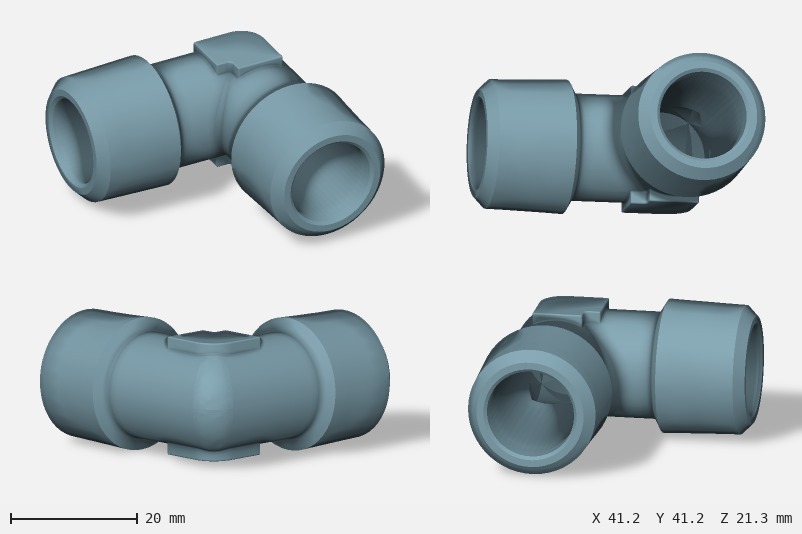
import cadquery as cq
import math

OVERALL_LENGTH = 41.15
COLLAR_DIAMETER = 21.25
COLLAR_RADIUS = COLLAR_DIAMETER / 2
LEG_LENGTH = OVERALL_LENGTH - COLLAR_RADIUS
TUBE_DIAMETER = 17.0
TUBE_RADIUS = TUBE_DIAMETER / 2
COLLAR_START = 16.5
COLLAR_DIAMETER_TAPER = 1 / 16
SHOULDER_ANGLE = 60
SHOULDER_FILLET = 0.5
END_CHAMFER = 1.65

BORE_RADIUS = 7.0
BORE_DEPTH_PAST_AXIS = 4.45
DRILL_TIP_ANGLE = 135
MOUTH_CHAMFER = 0.5

OUTER_CORNER_FILLET = 4.5
INNER_CORNER_FILLET = 0.75

PAD_TOP = 9.5
PAD_HALF_WIDTH = 4.0
PAD_ARM = 6.5
PAD_NOTCH_FILLET = 0.75
PAD_EDGE_FILLET = 0.25

MITER_NORMAL = (1, 1, 0)


def revolve_about_x(points):
    """Solid of revolution about X from (x, radius) points."""
    return cq.Workplane("XY").polyline(points).close().revolve(360, (0, 0, 0), (1, 0, 0))


def both_legs(leg):
    """The +X leg and its mirror image along -Y."""
    return leg.union(leg.mirror(MITER_NORMAL))


def edge_near_point(workplane, point):
    """The edge whose centre lies nearest to the point."""
    return workplane.edges(cq.selectors.NearestToPointSelector(point))


def outer_leg():
    """Tube, conical shoulder and tapered collar, cut on the miter plane x + y = 0."""
    shoulder_length = (COLLAR_RADIUS - TUBE_RADIUS) / math.tan(math.radians(SHOULDER_ANGLE))
    shoulder_start = COLLAR_START - shoulder_length
    chamfer_start = LEG_LENGTH - END_CHAMFER
    taper_drop = (chamfer_start - COLLAR_START) * COLLAR_DIAMETER_TAPER / 2
    collar_end_radius = COLLAR_RADIUS - taper_drop
    leg = revolve_about_x([
        (-TUBE_RADIUS, 0),
        (-TUBE_RADIUS, TUBE_RADIUS),
        (shoulder_start, TUBE_RADIUS),
        (COLLAR_START, COLLAR_RADIUS),
        (chamfer_start, collar_end_radius),
        (LEG_LENGTH, collar_end_radius - END_CHAMFER),
        (LEG_LENGTH, 0),
    ])
    leg = edge_near_point(leg, (shoulder_start, -TUBE_RADIUS, 0)).fillet(SHOULDER_FILLET)
    miter_waste = (
        cq.Workplane("XY")
        .polyline([
            (LEG_LENGTH, -LEG_LENGTH),
            (-LEG_LENGTH, -LEG_LENGTH),
            (-LEG_LENGTH, LEG_LENGTH),
        ])
        .close()
        .extrude(COLLAR_DIAMETER, both=True)
    )
    return leg.cut(miter_waste)


def bore():
    """Drilled bore of one leg, with a conical tip past the corner and a chamfered mouth."""
    tip_length = BORE_RADIUS / math.tan(math.radians(DRILL_TIP_ANGLE / 2))
    return revolve_about_x([
        (-BORE_DEPTH_PAST_AXIS - tip_length, 0),
        (-BORE_DEPTH_PAST_AXIS, BORE_RADIUS),
        (LEG_LENGTH - MOUTH_CHAMFER, BORE_RADIUS),
        (LEG_LENGTH, BORE_RADIUS + MOUTH_CHAMFER),
        (LEG_LENGTH, 0),
    ])


def pads():
    """L-shaped block through the corner, whose two ends stand out as flats above and below."""
    pad = (
        cq.Workplane("XY")
        .moveTo(0, PAD_HALF_WIDTH)
        .lineTo(PAD_ARM, PAD_HALF_WIDTH)
        .lineTo(PAD_ARM, -PAD_HALF_WIDTH)
        .lineTo(PAD_HALF_WIDTH, -PAD_HALF_WIDTH)
        .lineTo(PAD_HALF_WIDTH, -PAD_ARM)
        .lineTo(-PAD_HALF_WIDTH, -PAD_ARM)
        .lineTo(-PAD_HALF_WIDTH, 0)
        .radiusArc((0, PAD_HALF_WIDTH), PAD_HALF_WIDTH)
        .close()
        .extrude(PAD_TOP, both=True)
    )
    pad = edge_near_point(pad, (PAD_HALF_WIDTH, -PAD_HALF_WIDTH, 0)).fillet(PAD_NOTCH_FILLET)
    outer_corners = [
        (PAD_ARM, PAD_HALF_WIDTH, 0),
        (PAD_ARM, -PAD_HALF_WIDTH, 0),
        (PAD_HALF_WIDTH, -PAD_ARM, 0),
        (-PAD_HALF_WIDTH, -PAD_ARM, 0),
    ]
    for corner in outer_corners:
        pad = edge_near_point(pad, corner).fillet(PAD_EDGE_FILLET)
    return pad.faces("|Z").edges().fillet(PAD_EDGE_FILLET)


def pad_base_edges(workplane):
    """Edges where the pad walls meet the tubes, leaving out the upright edges of the walls."""
    reach = PAD_ARM + PAD_EDGE_FILLET
    lowest = math.sqrt(TUBE_RADIUS**2 - (PAD_HALF_WIDTH + PAD_EDGE_FILLET) ** 2)
    highest = PAD_TOP - 2 * PAD_EDGE_FILLET
    above = cq.selectors.BoxSelector((-reach, -reach, lowest), (reach, reach, highest))
    below = cq.selectors.BoxSelector((-reach, -reach, -highest), (reach, reach, -lowest))
    upright = cq.selectors.ParallelDirSelector(cq.Vector(0, 0, 1))
    return workplane.edges((above + below) - upright)


body = both_legs(outer_leg()).union(pads())
body = edge_near_point(body, (-TUBE_RADIUS, TUBE_RADIUS, 0)).fillet(OUTER_CORNER_FILLET)
body = edge_near_point(body, (TUBE_RADIUS, -TUBE_RADIUS, 0)).fillet(INNER_CORNER_FILLET)
body = pad_base_edges(body).fillet(PAD_EDGE_FILLET)
result = body.cut(both_legs(bore()))